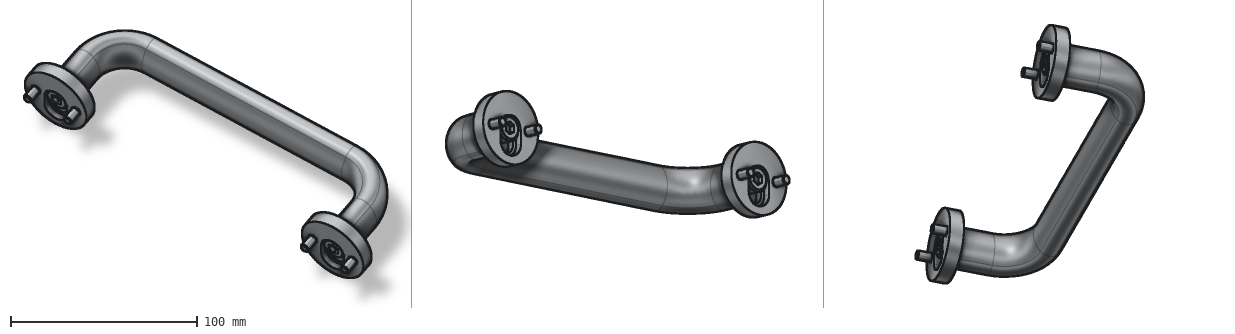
import cadquery as cq
import math

overall_length = 220.0
flange_diameter = 40.0
flange_thickness = 8.0
post_x = (overall_length - flange_diameter) / 2

bar_width = 17.5
bar_height = 25.0
oval_end_radius = 6.4
bend_radius = 25.0
handle_reach = 63.0
bar_axis_y = handle_reach - bar_width / 2

pin_length = 8.0
pin_offset = 13.0
pin_diameter = 5.0
pin_hole_diameter = 5.5
pin_hole_depth = 0.7
pin_chamfer = 0.5

slot_travel = 8.0
slot_wide_diameter = 14.7
slot_wide_depth = 4.0
slot_narrow_diameter = 10.3

head_diameter = 14.0
head_recess = 0.7
head_chamfer = 1.0
socket_across_flats = 6.0
socket_depth = 3.0


def facing_mount(y):
    """Workplane at the given y with its normal along +Y; local x is X, local y is -Z."""
    return cq.Workplane("XZ", origin=(0, y, 0)).transformed(rotate=(180, 0, 0))


def disc(x, y, diameter, length):
    """Cylinder along +Y starting at the given y."""
    return facing_mount(y).center(x, 0).circle(diameter / 2).extrude(length)


def oval_section(plane):
    """Four tangent arcs: small radius at the ends, large radius on the sides."""
    half_width = bar_width / 2
    half_height = bar_height / 2
    end_centre = half_height - oval_end_radius
    side_reach = half_width - oval_end_radius
    side_offset = (end_centre**2 - side_reach**2) / (2 * side_reach)
    join_angle = math.atan2(end_centre, side_offset)
    join_x = oval_end_radius * math.cos(join_angle)
    join_z = end_centre + oval_end_radius * math.sin(join_angle)
    return (
        plane.moveTo(join_x, -join_z)
        .threePointArc((half_width, 0), (join_x, join_z))
        .threePointArc((0, half_height), (-join_x, join_z))
        .threePointArc((-half_width, 0), (-join_x, -join_z))
        .threePointArc((0, -half_height), (join_x, -join_z))
        .close()
    )


def bar():
    bend_start_y = bar_axis_y - bend_radius
    bend_end_x = post_x - bend_radius
    bend_mid = bend_radius * math.sqrt(0.5)
    path = (
        cq.Workplane("XY")
        .moveTo(-post_x, flange_thickness)
        .lineTo(-post_x, bend_start_y)
        .threePointArc((-bend_end_x - bend_mid, bend_start_y + bend_mid), (-bend_end_x, bar_axis_y))
        .lineTo(bend_end_x, bar_axis_y)
        .threePointArc((bend_end_x + bend_mid, bend_start_y + bend_mid), (post_x, bend_start_y))
        .lineTo(post_x, flange_thickness)
    )
    section_plane = cq.Workplane("XZ", origin=(-post_x, flange_thickness, 0))
    return oval_section(section_plane).sweep(path)


def slot(x, diameter, depth):
    """Slot open at the flange centre and rounded at its lower end."""
    straight = facing_mount(0).center(x, slot_travel / 2).rect(diameter, slot_travel).extrude(depth)
    return straight.union(disc(x, 0, diameter, depth).translate((0, 0, -slot_travel)))


def screw_head(x):
    head = disc(x, head_recess, head_diameter, flange_thickness - head_recess)
    return head.faces("<Y").chamfer(head_chamfer)


def hex_socket(x):
    """Hexagonal recess with two corners on the vertical centre line."""
    across_corners = socket_across_flats / math.cos(math.pi / 6)
    return (
        facing_mount(head_recess)
        .center(x, 0)
        .transformed(rotate=(0, 0, 90))
        .polygon(6, across_corners)
        .extrude(socket_depth)
    )


def pin(x):
    body = disc(x, -pin_length, pin_diameter, pin_length + pin_hole_depth)
    return body.faces("<Y").chamfer(pin_chamfer)


def mount(x):
    body = disc(x, 0, flange_diameter, flange_thickness)
    body = body.cut(slot(x, slot_wide_diameter, slot_wide_depth))
    body = body.cut(slot(x, slot_narrow_diameter, flange_thickness))
    body = body.cut(disc(x, 0, head_diameter, slot_wide_depth))
    body = body.union(screw_head(x)).cut(hex_socket(x))
    for side in (-1, 1):
        pin_x = x + side * pin_offset
        body = body.cut(disc(pin_x, 0, pin_hole_diameter, pin_hole_depth))
        body = body.union(pin(pin_x))
    return body


result = bar()
for x in (-post_x, post_x):
    result = result.union(mount(x))